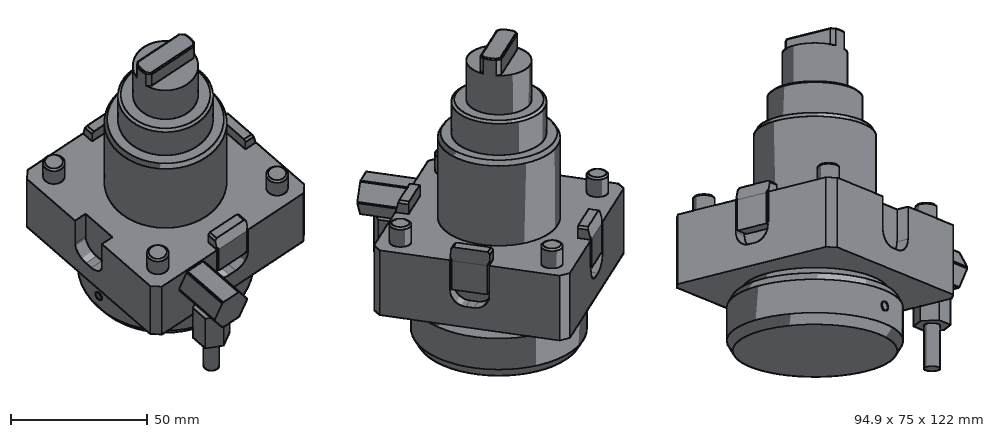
import cadquery as cq
import math

NUT_TOP = 19.8
BLOCK_BOTTOM = 23.0
BLOCK_TOP = 50.0
SHANK_TOP = 85.0
COLLAR_TOP = 99.0
SHAFT_TOP = 115.2
TANG_TOP = 122.0

NUT_DIAMETER = 64.8
NECK_DIAMETER = 54.0
SHANK_DIAMETER = 45.0
COLLAR_DIAMETER = 35.0
SHAFT_DIAMETER = 24.0

NUT_BOTTOM_BREAK = (2.2, 3.8)
NUT_TOP_BREAK = (1.7, 3.0)
SHANK_BREAK = (1.1, 1.8)
COLLAR_BREAK = (1.1, 0.9)

TANG_WIDTH = 8.0
TANG_CORNER = 1.5
TANG_TOP_CHAMFER = 0.5

BLOCK_SIDE = 75.0
BLOCK_CORNER = 3.0

KEYWAY_WIDTH = 15.0
KEYWAY_BOTTOM = 31.6
KEYWAY_RADIUS = 6.0
KEYWAY_DEPTH = 5.1
KEY_BOTTOM = 38.0
KEY_TOP = 54.9
KEY_CHAMFER = 0.9
KEY_LEAN = 1.3
KEY_BEVEL_WIDTH = 0.7
KEY_BEVEL_DEPTH = 0.4

SCREW_DIAMETER = 8.0
SCREW_OFFSET = 29.0
SCREW_TOP = 58.0
SCREW_CHAMFER = 0.7

LOCK_PIN_DIAMETER = 3.5
LOCK_PIN_HEIGHT = 10.5
LOCK_PIN_PROUD = 0.4
LOCK_PIN_LENGTH = 3.7

ELBOW_LENGTH = 19.9
ELBOW_Y = -18.2
ELBOW_Z = 42.0
ELBOW_ACROSS_FLATS = 14.0
ELBOW_TURNED_DIAMETER = 15.9
FITTING_X = 46.5
FITTING_ACROSS_FLATS = 12.0
FITTING_BOTTOM = 18.3
TUBE_DIAMETER = 6.0
TUBE_BOTTOM = 1.6

HALF_BLOCK = BLOCK_SIDE / 2


def chamfered_disc(diameter, bottom, top, bottom_break=(0, 0), top_break=(0, 0)):
    """Solid disc about Z; each break is a (radial, axial) pair of legs."""
    radius = diameter / 2
    profile = cq.Workplane("XZ").moveTo(0, bottom).lineTo(radius - bottom_break[0], bottom)
    if bottom_break[1]:
        profile = profile.lineTo(radius, bottom + bottom_break[1])
    profile = profile.lineTo(radius, top - top_break[1])
    if top_break[1]:
        profile = profile.lineTo(radius - top_break[0], top)
    return profile.lineTo(0, top).close().revolve(360, (0, 0, 0), (0, 1, 0))


def turned_column():
    column = chamfered_disc(NUT_DIAMETER, 0, NUT_TOP, NUT_BOTTOM_BREAK, NUT_TOP_BREAK)
    column = column.union(chamfered_disc(NECK_DIAMETER, NUT_TOP, BLOCK_BOTTOM))
    column = column.union(chamfered_disc(SHANK_DIAMETER, BLOCK_TOP, SHANK_TOP, top_break=SHANK_BREAK))
    column = column.union(chamfered_disc(COLLAR_DIAMETER, SHANK_TOP, COLLAR_TOP, top_break=COLLAR_BREAK))
    return column.union(chamfered_disc(SHAFT_DIAMETER, COLLAR_TOP, SHAFT_TOP))


def driving_tang():
    """Flat tang with bevelled corners and ends rounded to the shaft diameter."""
    height = TANG_TOP - SHAFT_TOP
    half_length = math.sqrt((SHAFT_DIAMETER / 2) ** 2 - (TANG_WIDTH / 2 - TANG_CORNER) ** 2)
    bar = (
        cq.Workplane("XY", origin=(0, 0, SHAFT_TOP))
        .rect(TANG_WIDTH, 2 * half_length)
        .extrude(height)
        .edges("|Z")
        .chamfer(TANG_CORNER)
    )
    end_caps = (
        cq.Workplane("XY", origin=(0, 0, SHAFT_TOP))
        .rect(TANG_WIDTH - 2 * TANG_CORNER, SHAFT_DIAMETER)
        .extrude(height)
    )
    shaft = cq.Workplane("XY", origin=(0, 0, SHAFT_TOP)).circle(SHAFT_DIAMETER / 2).extrude(height)
    return bar.union(end_caps.intersect(shaft)).faces(">Z").chamfer(TANG_TOP_CHAMFER)


def side_block():
    return (
        cq.Workplane("XY", origin=(0, 0, BLOCK_BOTTOM))
        .rect(BLOCK_SIDE, BLOCK_SIDE)
        .extrude(BLOCK_TOP - BLOCK_BOTTOM)
        .edges("|Z")
        .chamfer(BLOCK_CORNER)
    )


def keyway():
    """Cutter for the keyway in the -Y side, open at the top of the block."""
    height = BLOCK_TOP - KEYWAY_BOTTOM
    return (
        cq.Workplane("XY")
        .box(KEYWAY_WIDTH, KEYWAY_DEPTH, height, centered=(True, False, False))
        .edges("|Y and <Z")
        .fillet(KEYWAY_RADIUS)
        .translate((0, -HALF_BLOCK, KEYWAY_BOTTOM))
    )


def key():
    """Key for the -Y keyway; its outer face leans inward above the block.

    The shape is where its side, front and plan outlines overlap.
    """
    inner_y = -HALF_BLOCK + KEYWAY_DEPTH
    half_width = KEYWAY_WIDTH / 2
    side_profile = (
        cq.Workplane("YZ")
        .moveTo(inner_y, KEY_BOTTOM)
        .lineTo(-HALF_BLOCK, KEY_BOTTOM)
        .lineTo(-HALF_BLOCK, BLOCK_TOP)
        .lineTo(-HALF_BLOCK + KEY_LEAN, KEY_TOP)
        .lineTo(inner_y, KEY_TOP)
        .close()
        .extrude(half_width, both=True)
    )
    front_outline = (
        cq.Workplane("XY")
        .box(KEYWAY_WIDTH, KEYWAY_DEPTH, KEY_TOP - KEY_BOTTOM, centered=(True, False, False))
        .edges("|Y")
        .chamfer(KEY_CHAMFER)
        .translate((0, -HALF_BLOCK, KEY_BOTTOM))
    )
    plan_outline = (
        cq.Workplane("XY", origin=(0, 0, KEY_BOTTOM))
        .moveTo(-half_width, inner_y)
        .lineTo(-half_width, -HALF_BLOCK + KEY_BEVEL_DEPTH)
        .lineTo(-half_width + KEY_BEVEL_WIDTH, -HALF_BLOCK)
        .lineTo(half_width - KEY_BEVEL_WIDTH, -HALF_BLOCK)
        .lineTo(half_width, -HALF_BLOCK + KEY_BEVEL_DEPTH)
        .lineTo(half_width, inner_y)
        .close()
        .extrude(KEY_TOP - KEY_BOTTOM)
    )
    return side_profile.intersect(front_outline).intersect(plan_outline)


def screw_ends():
    return (
        cq.Workplane("XY", origin=(0, 0, BLOCK_TOP))
        .rect(2 * SCREW_OFFSET, 2 * SCREW_OFFSET, forConstruction=True)
        .vertices()
        .circle(SCREW_DIAMETER / 2)
        .extrude(SCREW_TOP - BLOCK_TOP)
        .faces(">Z")
        .chamfer(SCREW_CHAMFER)
    )


def lock_pin():
    outer_y = -NUT_DIAMETER / 2 - LOCK_PIN_PROUD
    return (
        cq.Workplane("XZ", origin=(0, outer_y, LOCK_PIN_HEIGHT))
        .circle(LOCK_PIN_DIAMETER / 2)
        .extrude(-LOCK_PIN_LENGTH)
    )


def across_corners(across_flats):
    return across_flats / math.cos(math.pi / 6)


def coolant_elbow():
    arm_plane = cq.Workplane("YZ", origin=(HALF_BLOCK, ELBOW_Y, ELBOW_Z))
    arm_hexagon = arm_plane.polygon(6, across_corners(ELBOW_ACROSS_FLATS)).extrude(ELBOW_LENGTH)
    arm_bar = arm_plane.circle(ELBOW_TURNED_DIAMETER / 2).extrude(ELBOW_LENGTH)
    arm = arm_hexagon.intersect(arm_bar)
    fitting = (
        cq.Workplane("XY", origin=(FITTING_X, ELBOW_Y, FITTING_BOTTOM))
        .polygon(6, across_corners(FITTING_ACROSS_FLATS))
        .extrude(ELBOW_Z - ELBOW_ACROSS_FLATS / 2 - FITTING_BOTTOM)
    )
    tube = (
        cq.Workplane("XY", origin=(FITTING_X, ELBOW_Y, TUBE_BOTTOM))
        .circle(TUBE_DIAMETER / 2)
        .extrude(FITTING_BOTTOM - TUBE_BOTTOM)
    )
    return arm.union(fitting).union(tube)


body = side_block()
for quarter_turn in range(4):
    body = body.cut(keyway().rotate((0, 0, 0), (0, 0, 1), 90 * quarter_turn))

for quarter_turn in range(1, 4):
    body = body.union(key().rotate((0, 0, 0), (0, 0, 1), 90 * quarter_turn))

result = (
    body.union(turned_column())
    .union(driving_tang())
    .union(screw_ends())
    .union(lock_pin())
    .union(coolant_elbow())
)